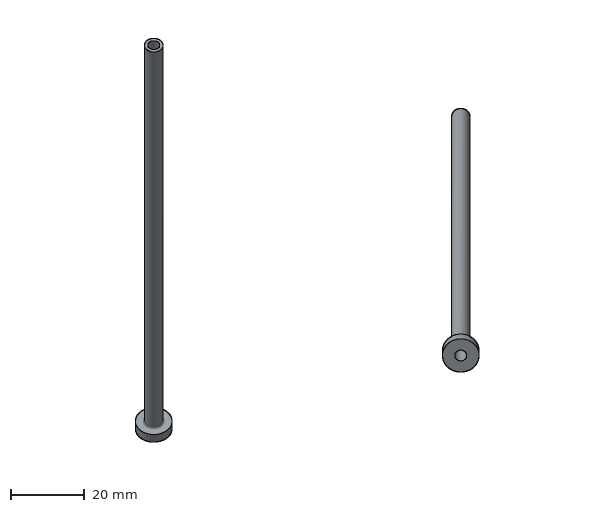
import cadquery as cq

total_length = 153.0
head_diameter = 10.0
head_height = 3.0
tube_diameter = 5.0
bore_diameter = 3.2
root_fillet = 0.25

head = cq.Workplane("XY").circle(head_diameter / 2).extrude(head_height)
tube = cq.Workplane("XY").circle(tube_diameter / 2).extrude(total_length)
body = head.union(tube)

smallest_circle = cq.selectors.RadiusNthSelector(0)
body = body.faces("<Z[1]").edges(smallest_circle).fillet(root_fillet)

bore = cq.Workplane("XY").circle(bore_diameter / 2).extrude(total_length)
result = body.cut(bore)